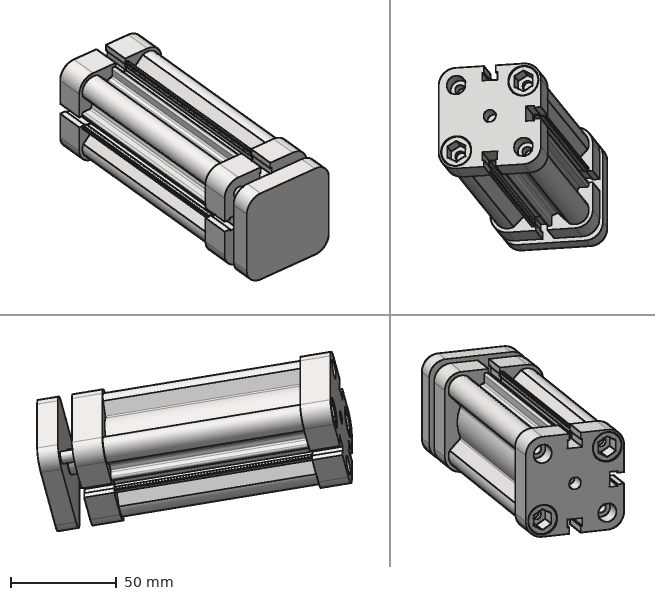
import cadquery as cq
import math

total_length = 141.5
cap_size = 49.5
cap_length = 14.6
tube_length = 95.5
plate_gap = 6.8
corner_offset = 16.3
corner_radius = 8.3

housing_length = 2 * cap_length + tube_length
plate_start = housing_length + plate_gap
plate_length = total_length - plate_start

barrel_radius = 18.5
web_angles = (45, 135)
rib_radius = 6.7
web_half_width = 6.2
valley_fillet = 1.0
rail_half_width = 5.0
rail_height = 22.9
rail_fillet = 1.0
rail_slot_half_width = 3.3
rail_slot_floor = 18.0
rail_slot_ceiling = 20.7
rail_mouth_half_width = 2.7
rail_mouth_chamfer = 0.4

cap_slot_floor = 17.5
cap_slot_half_width = 3.7
cap_mouth_half_width = 2.8
cap_slot_ceiling = 21.5
slotted_sides = (0, 90, 180)

thread_radius = 2.4
mount_bore_radius = 4.5
mount_bore_depth = 8.5
centre_hole_radius = 3.0
centre_hole_depth = 8.5
plug_bore_radius = 7.4
plug_radius = 7.1
plug_length = 11.3
plug_recess = 0.3
hex_across_flats = 8.9
hex_depth = 8.5
pin_radius = 3.0
rod_radius = 6.1
rod_flat_distance = 5.0
rod_collar = 1.4
flat_run_out = 0.4
rod_chamfer = 0.3
slide_start = housing_length - cap_length

mount_corners = [(corner_offset, corner_offset), (-corner_offset, -corner_offset)]
guide_corners = [(-corner_offset, corner_offset), (corner_offset, -corner_offset)]


def section(x):
    """Workplane across the X axis whose local axes are Y and Z."""
    return cq.Workplane("YZ", origin=(x, 0, 0))


def rounded_block(x, length):
    """Square block with rounded edges along X."""
    block = section(x).rect(cap_size, cap_size).extrude(length)
    return block.edges("|X").fillet(corner_radius)


def rods(x, length, radius, centres):
    """Cylinders along X at the given centres."""
    return section(x).pushPoints(centres).circle(radius).extrude(length)


def on_slotted_sides(shape):
    """Copies of a +Z side shape, one for every slotted side."""
    return [shape.rotate((0, 0, 0), (1, 0, 0), turn) for turn in slotted_sides]


def tee_slot(x, length, top, mouth_half_width, ceiling, half_width, floor):
    """Slot along X, open at the top, that widens below its ceiling."""
    mouth = section(x).center(0, (top + ceiling) / 2).rect(2 * mouth_half_width, top - ceiling)
    chamber = section(x).center(0, (ceiling + floor) / 2).rect(2 * half_width, ceiling - floor)
    return mouth.extrude(length).union(chamber.extrude(length))


def strip(length, angle):
    """Bar as long as the tube and as wide as a web, turned about the main axis."""
    bar = section(cap_length).rect(length, 2 * web_half_width).extrude(tube_length)
    return bar.rotate((0, 0, 0), (1, 0, 0), angle)


def rail_block():
    """Solid rail on the +Z side, rounded along its outer edges."""
    return (
        section(cap_length)
        .center(0, rail_height / 2)
        .rect(2 * rail_half_width, rail_height)
        .extrude(tube_length)
        .edges("|X and >Z")
        .fillet(rail_fillet)
    )


def rail_slot():
    """Sensor slot of the +Z rail, with a chamfered mouth."""
    slot = tee_slot(
        cap_length, tube_length, rail_height, rail_mouth_half_width,
        rail_slot_ceiling, rail_slot_half_width, rail_slot_floor,
    )
    wide = rail_mouth_half_width + rail_mouth_chamfer
    mouth_flare = (
        section(cap_length)
        .moveTo(-wide, rail_height)
        .lineTo(wide, rail_height)
        .lineTo(rail_mouth_half_width, rail_height - rail_mouth_chamfer)
        .lineTo(-rail_mouth_half_width, rail_height - rail_mouth_chamfer)
        .close()
        .extrude(tube_length)
    )
    return slot.union(mouth_flare)


def tube():
    """Barrel with four webbed corner ribs, and a slotted rail on every slotted side."""
    body = section(cap_length).circle(barrel_radius).extrude(tube_length)
    web_length = 2 * corner_offset * math.sqrt(2)
    for angle in web_angles:
        body = body.union(strip(web_length, angle))
    for side_rail in on_slotted_sides(rail_block()):
        body = body.union(side_rail)

    rail_foot = math.sqrt(barrel_radius**2 - rail_half_width**2)
    valley_reach = (rail_foot + barrel_radius) / 2
    valleys = cq.selectors.BoxSelector(
        (0, -valley_reach, -valley_reach), (housing_length, valley_reach, valley_reach)
    )
    body = body.edges("|X").edges(valleys).fillet(valley_fillet)

    ribs = rods(cap_length, tube_length, rib_radius, mount_corners + guide_corners)
    for angle in web_angles:
        body = body.union(ribs.intersect(strip(web_length + 2 * rib_radius, angle)))
    for side_slot in on_slotted_sides(rail_slot()):
        body = body.cut(side_slot)
    return body


def cap(x):
    """End cap that starts at x, with its three slots."""
    body = rounded_block(x, cap_length)
    slot = tee_slot(
        x, cap_length, cap_size / 2, cap_mouth_half_width,
        cap_slot_ceiling, cap_slot_half_width, cap_slot_floor,
    )
    for side_slot in on_slotted_sides(slot):
        body = body.cut(side_slot)
    return body


def make_housing():
    """Tube between two caps, with the holes for the mounting screws, plugs, pins and rod."""
    body = tube().union(cap(0)).union(cap(cap_length + tube_length))
    body = body.cut(rods(0, cap_length, thread_radius, mount_corners))
    body = body.cut(rods(0, mount_bore_depth, mount_bore_radius, mount_corners))
    body = body.cut(rods(0, centre_hole_depth, centre_hole_radius, [(0, 0)]))
    body = body.cut(rods(0, plug_recess + plug_length, plug_bore_radius, guide_corners))
    body = body.cut(rods(slide_start, cap_length, pin_radius, guide_corners))
    return body.cut(rods(slide_start, cap_length, rod_radius, [(0, 0)]))


def make_plug(centre):
    """Round plug with a hexagon socket and a hole through it."""
    body = rods(plug_recess, plug_length, plug_radius, [centre])
    body = body.cut(rods(plug_recess, plug_length, thread_radius, [centre]))
    hexagon = (
        section(plug_recess)
        .center(*centre)
        .polygon(6, hex_across_flats, circumscribed=True)
        .extrude(hex_depth)
    )
    return body.cut(hexagon)


def make_piston_rod():
    """Rod with two wrench flats between its collar and the guide plate."""
    body = rods(slide_start, plate_start - slide_start, rod_radius, [(0, 0)])
    body = body.faces(">X").chamfer(rod_chamfer)
    collar_end = housing_length + rod_collar
    for side in (-1, 1):
        flat = (
            cq.Workplane("XY")
            .moveTo(collar_end, side * rod_radius)
            .lineTo(collar_end + flat_run_out, side * rod_flat_distance)
            .lineTo(plate_start, side * rod_flat_distance)
            .lineTo(plate_start, side * rod_radius)
            .close()
            .extrude(rod_radius, both=True)
        )
        body = body.cut(flat)
    return body


def make_guide_plate():
    """Plate with two guide pins on one diagonal."""
    pins = rods(slide_start, plate_start - slide_start, pin_radius, guide_corners)
    return rounded_block(plate_start, plate_length).union(pins)


housing = make_housing()
plugs = [make_plug(centre) for centre in guide_corners]
piston_rod = make_piston_rod()
guide_plate = make_guide_plate()

result = cq.Compound.makeCompound(
    [housing.val(), *[plug.val() for plug in plugs], piston_rod.val(), guide_plate.val()]
)